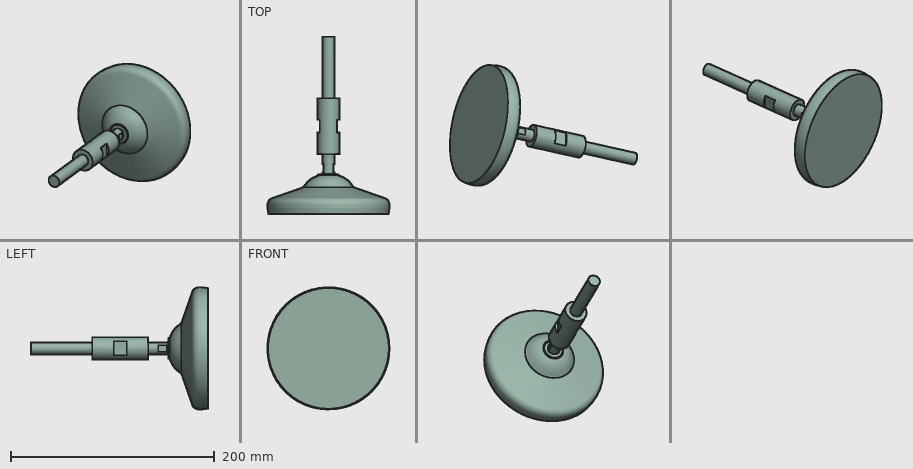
import cadquery as cq
import math


foot_radius = 60.0
sole_radius = 59.2
sole_height = 6.1
rim_top = 9.0
shoulder_round = 7.1
cone_top_radius = 25.2
cone_top = 26.3
dome_base_radius = 23.7
dome_base = 27.8
dome_mid_radius = 18.6
dome_mid = 33.5
dome_top_radius = 9.7
foot_top = 38.0

total_length = 174.0
stud_diameter = 12.0
stud_radius = stud_diameter / 2
stud_flat_width = 10.1
stud_flat_start = 40.9
stud_flat_end = 48.9
collar_radius = 10.3
collar_edge_radius = 9.4
collar_edge_height = 1.0
collar_height = 1.5

sleeve_radius = 11.0
sleeve_start = 58.8
sleeve_length = 55.0
sleeve_flat_width = 17.0
sleeve_flat_length = 12.4


def cylinder_along_y(radius, start, length):
    """Round bar on the Y axis, from Y = start."""
    return cq.Workplane("XZ", origin=(0, start, 0)).circle(radius).extrude(-length)


def cut_flats(body, radius, width_across, start, end):
    """Mill two parallel flats, facing -X and +X, into a round body."""
    depth = radius - width_across / 2
    for side in (-1, 1):
        cutter = cq.Workplane("XY").box(2 * depth, end - start, 2 * radius)
        offset = side * (width_across / 2 + depth)
        body = body.cut(cutter.translate((offset, (start + end) / 2, 0)))
    return body


def revolve_about_y(profile):
    return profile.close().revolve(360, (0, 0, 0), (0, 1, 0))


def make_foot():
    """Revolved plate with a rounded shoulder, a shallow cone and a dome."""
    round_x = foot_radius - shoulder_round
    run = round_x - cone_top_radius
    rise = cone_top - rim_top
    center_angle = math.atan2(rise, run)
    cone_angle = center_angle - math.asin(shoulder_round / math.hypot(run, rise))
    mid_angle = (math.pi / 2 + cone_angle) / 2

    def shoulder_point(angle):
        return (round_x + shoulder_round * math.sin(angle), rim_top + shoulder_round * math.cos(angle))

    profile = (
        cq.Workplane("XY")
        .lineTo(sole_radius, 0)
        .lineTo(foot_radius, sole_height)
        .lineTo(foot_radius, rim_top)
        .threePointArc(shoulder_point(mid_angle), shoulder_point(cone_angle))
        .lineTo(cone_top_radius, cone_top)
        .lineTo(dome_base_radius, dome_base)
        .threePointArc((dome_mid_radius, dome_mid), (dome_top_radius, foot_top))
        .lineTo(0, foot_top)
    )
    return revolve_about_y(profile)


def make_stud():
    """Round stud with wrench flats and a round-edged, sloping collar resting on the foot."""
    shank = cylinder_along_y(stud_radius, foot_top, total_length - foot_top)
    shank = cut_flats(shank, stud_radius, stud_flat_width, stud_flat_start, stud_flat_end)
    collar_top = foot_top + collar_height
    collar_profile = (
        cq.Workplane("XY")
        .moveTo(0, foot_top)
        .lineTo(collar_edge_radius, foot_top)
        .threePointArc(
            (collar_radius, foot_top + collar_edge_height / 2),
            (collar_edge_radius, foot_top + collar_edge_height),
        )
        .lineTo(stud_radius, collar_top)
        .lineTo(0, collar_top)
    )
    return shank.union(revolve_about_y(collar_profile))


def make_sleeve():
    """Tube around the stud, with wrench flats at the middle of its length."""
    sleeve = cylinder_along_y(sleeve_radius, sleeve_start, sleeve_length)
    bore = cylinder_along_y(stud_radius, sleeve_start, sleeve_length)
    middle = sleeve_start + sleeve_length / 2
    half_flat = sleeve_flat_length / 2
    sleeve = cut_flats(sleeve, sleeve_radius, sleeve_flat_width, middle - half_flat, middle + half_flat)
    return sleeve.cut(bore)


foot = make_foot()
stud = make_stud()
sleeve = make_sleeve()

result = cq.Compound.makeCompound([foot.val(), stud.val(), sleeve.val()])